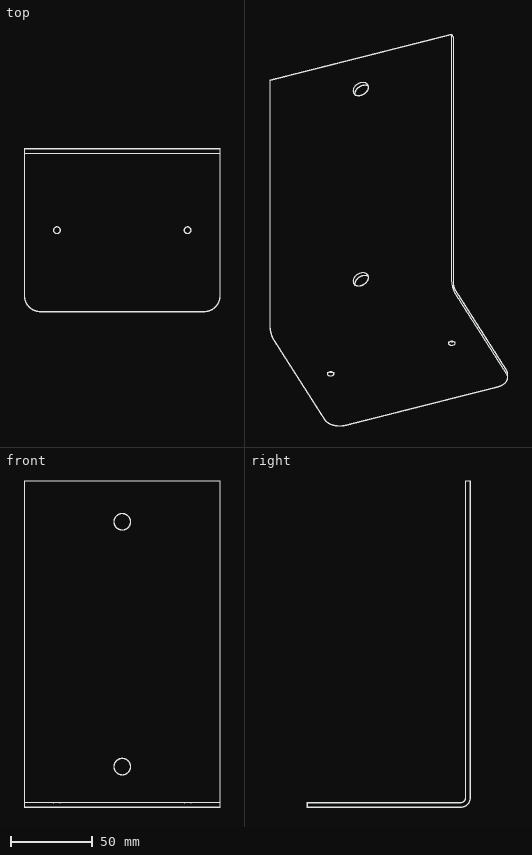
import cadquery as cq

width = 120.0
depth = 100.0
height = 200.0
thickness = 3.0

inner_bend_radius = 3.0
outer_bend_radius = inner_bend_radius + thickness
corner_radius = 10.0

mount_hole_diameter = 10.0
mount_hole_edge_distance = 25.0

base_hole_diameter = 4.0
base_hole_spacing = 80.0


def bent_sheet():
    """L-shaped sheet: base on Z = 0, upright with its back face on Y = 0."""
    profile = (
        cq.Workplane("YZ")
        .moveTo(-depth, 0)
        .lineTo(0, 0)
        .lineTo(0, height)
        .lineTo(-thickness, height)
        .lineTo(-thickness, thickness)
        .lineTo(-depth, thickness)
        .close()
    )
    sheet = profile.extrude(width / 2, both=True)
    inner_corner = cq.selectors.NearestToPointSelector((0, -thickness, thickness))
    sheet = sheet.edges("|X").edges(inner_corner).fillet(inner_bend_radius)
    outer_corner = cq.selectors.NearestToPointSelector((0, 0, 0))
    return sheet.edges("|X").edges(outer_corner).fillet(outer_bend_radius)


def mount_holes():
    """Cutters one above the other on the centre line of the upright."""
    heights = (mount_hole_edge_distance, height - mount_hole_edge_distance)
    return (
        cq.Workplane("XZ")
        .pushPoints([(0, z) for z in heights])
        .circle(mount_hole_diameter / 2)
        .extrude(thickness)
    )


def base_holes():
    """Cutters side by side, halfway along the depth of the base."""
    return (
        cq.Workplane("XY")
        .pushPoints([(side * base_hole_spacing / 2, -depth / 2) for side in (-1, 1)])
        .circle(base_hole_diameter / 2)
        .extrude(thickness)
    )


bracket = bent_sheet().faces("<Y").edges("|Z").fillet(corner_radius)
result = bracket.cut(mount_holes()).cut(base_holes())